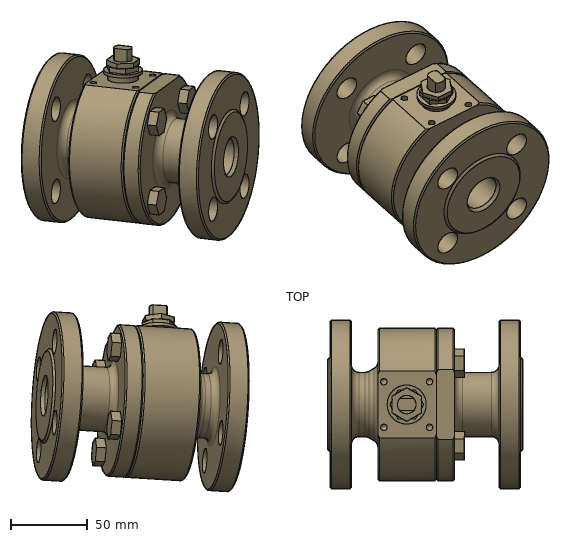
import cadquery as cq
import math


length = 127.0
left_end = -51.4
right_end = left_end + length
face_height = 1.5
flange_thickness = 14.0
body_left = -18.8
body_length = 38.1
cover_length = 12.0
body_right = body_left + body_length
cover_right = body_right + cover_length

flange_radius = 110.0 / 2
face_radius = 61.8 / 2
edge_chamfer = 1.0
flange_hole_diameter = 16.0
flange_hole_offset = 28.0

neck_radius = 42.0 / 2
neck_fillet = 5.0
cone_angle = math.radians(30)
cone_length = 3.4
bore_radius = 24.0 / 2
bore_mouth_radius = 26.5 / 2
bore_mouth_depth = 2.5

body_radius = 99.5 / 2
body_flat_height = 44.7
cover_flat_height = 44.2

bolt_head_flats = 16.0
bolt_head_height = 6.4
bolt_offset = 26.9

mount_hole_diameter = 4.2
mount_hole_spacing = 29.7
mount_hole_depth = 10.2
drill_tip_angle = 118

gland_diameter = 20.0
gland_height = 4.3
washer_diameter = 25.4
washer_thickness = 2.0
nut_flats = 19.0
nut_thickness = 3.4
upper_nut_turn = 30
stem_diameter = 12.1
stem_flats = 8.0
stem_top = 66.0


def revolved(outline):
    """Turn a closed half outline, drawn in the XZ plane, about the pipe axis."""
    return outline.revolve(360, (0, 0, 0), (1, 0, 0))


def disc(left, thickness, radius):
    """Round plate on the pipe axis, chamfered at both rims."""
    plate = cq.Workplane("YZ", origin=(left, 0, 0)).circle(radius).extrude(thickness)
    return plate.edges().chamfer(edge_chamfer)


def hexagon_diameter(across_flats):
    """Distance across the corners of a hexagon."""
    return across_flats / math.cos(math.pi / 6)


def pipe_flange(end, inward):
    """Flange with a tapered raised face; inward is the X direction pointing into the valve."""
    back = end + inward * face_height
    flange = disc(min(back, back + inward * flange_thickness), flange_thickness, flange_radius)
    raised_face = revolved(
        cq.Workplane("XZ")
        .moveTo(back, 0)
        .lineTo(back, face_radius)
        .lineTo(end, face_radius - face_height)
        .lineTo(end, 0)
        .close()
    )
    holes = (
        cq.Workplane("YZ", origin=(left_end, 0, 0))
        .rect(2 * flange_hole_offset, 2 * flange_hole_offset, forConstruction=True)
        .vertices()
        .circle(flange_hole_diameter / 2)
        .extrude(length)
    )
    return flange.cut(holes).union(raised_face)


def fillet_point(wall, toward_neck, angle):
    """Point, as X and radius, on the fillet between the neck and the wall at the given X.

    The angle is 0 where the fillet leaves the neck and 90 degrees where it meets the wall.
    """
    x = wall + toward_neck * neck_fillet * (1 - math.sin(angle))
    return x, neck_radius + neck_fillet * (1 - math.cos(angle))


def right_neck():
    """Straight neck with a quarter round at the cover and at the flange."""
    flange_wall = right_end - face_height - flange_thickness
    return revolved(
        cq.Workplane("XZ")
        .moveTo(cover_right, 0)
        .lineTo(*fillet_point(cover_right, 1, math.pi / 2))
        .threePointArc(fillet_point(cover_right, 1, math.pi / 4), fillet_point(cover_right, 1, 0))
        .lineTo(*fillet_point(flange_wall, -1, 0))
        .threePointArc(
            fillet_point(flange_wall, -1, math.pi / 4),
            fillet_point(flange_wall, -1, math.pi / 2),
        )
        .lineTo(flange_wall, 0)
        .close()
    )


def left_neck():
    """Neck that widens through a blended cone before it meets the body."""
    flange_wall = left_end + face_height + flange_thickness

    cone_end = body_left - neck_fillet * (1 - math.sin(cone_angle))
    cone_start = cone_end - cone_length
    blend_start = cone_start - neck_fillet * math.sin(cone_angle)

    def blend_point(angle):
        x = blend_start + neck_fillet * math.sin(angle)
        return x, neck_radius + neck_fillet * (1 - math.cos(angle))

    cone_rise = cone_length * math.tan(cone_angle)
    root_center_x = body_left - neck_fillet
    root_center_r = blend_point(cone_angle)[1] + cone_rise + neck_fillet * math.cos(cone_angle)

    def root_point(angle):
        x = root_center_x + neck_fillet * math.sin(angle)
        return x, root_center_r - neck_fillet * math.cos(angle)

    return revolved(
        cq.Workplane("XZ")
        .moveTo(flange_wall, 0)
        .lineTo(*fillet_point(flange_wall, 1, math.pi / 2))
        .threePointArc(fillet_point(flange_wall, 1, math.pi / 4), fillet_point(flange_wall, 1, 0))
        .lineTo(*blend_point(0))
        .threePointArc(blend_point(cone_angle / 2), blend_point(cone_angle))
        .lineTo(*root_point(cone_angle))
        .threePointArc(root_point((cone_angle + math.pi / 2) / 2), root_point(math.pi / 2))
        .lineTo(body_left, 0)
        .close()
    )


def flat_topped(plate, height):
    """Cut a plate off level at the given height."""
    return plate.intersect(
        cq.Workplane("XY", origin=(0, 0, -body_radius))
        .rect(2 * length, 2 * body_radius)
        .extrude(body_radius + height)
    )


def mounting_holes():
    """Four blind drilled holes in the body's flat top, with conical bottoms."""
    radius = mount_hole_diameter / 2
    tip_depth = mount_hole_depth + radius / math.tan(math.radians(drill_tip_angle / 2))
    hole = (
        cq.Workplane("XZ")
        .moveTo(0, body_flat_height)
        .lineTo(radius, body_flat_height)
        .lineTo(radius, body_flat_height - mount_hole_depth)
        .lineTo(0, body_flat_height - tip_depth)
        .close()
        .revolve(360, (0, 0, 0), (0, 1, 0))
    )
    return (
        cq.Workplane("XY")
        .rect(mount_hole_spacing, mount_hole_spacing, forConstruction=True)
        .vertices()
        .eachpoint(lambda place: hole.val().moved(place), combine="a")
    )


def cover_bolts():
    """Four hexagon heads on the cover, with their corners pointing along Y."""
    return (
        cq.Workplane("YZ", origin=(cover_right, 0, 0))
        .rect(2 * bolt_offset, 2 * bolt_offset, forConstruction=True)
        .vertices()
        .polygon(6, hexagon_diameter(bolt_head_flats))
        .extrude(bolt_head_height)
    )


def hex_nut(base, turn):
    """Hexagonal nut standing at the given height, turned by an angle about the stem axis."""
    nut = cq.Workplane("XY").polygon(6, hexagon_diameter(nut_flats)).extrude(nut_thickness)
    return nut.rotate((0, 0, 0), (0, 0, 1), turn).translate((0, 0, base))


def stem_stack():
    """Gland, washer, two nuts turned against each other, and a stem with two flats."""
    washer_base = body_flat_height + gland_height
    lower_nut_base = washer_base + washer_thickness
    upper_nut_base = lower_nut_base + nut_thickness

    gland = cq.Workplane("XY", origin=(0, 0, body_flat_height)).circle(gland_diameter / 2)
    washer = cq.Workplane("XY", origin=(0, 0, washer_base)).circle(washer_diameter / 2)

    stem_foot = cq.Workplane("XY", origin=(0, 0, upper_nut_base))
    stem_height = stem_top - upper_nut_base
    round_stem = stem_foot.circle(stem_diameter / 2).extrude(stem_height)
    stem = round_stem.intersect(stem_foot.rect(stem_diameter, stem_flats).extrude(stem_height))

    return (
        gland.extrude(gland_height)
        .union(washer.extrude(washer_thickness))
        .union(hex_nut(lower_nut_base, 0))
        .union(hex_nut(upper_nut_base, upper_nut_turn).cut(round_stem))
        .union(stem)
    )


def bore():
    """Through bore with a tapered mouth at each end."""
    return revolved(
        cq.Workplane("XZ")
        .moveTo(left_end, 0)
        .lineTo(left_end, bore_mouth_radius)
        .lineTo(left_end + bore_mouth_depth, bore_radius)
        .lineTo(right_end - bore_mouth_depth, bore_radius)
        .lineTo(right_end, bore_mouth_radius)
        .lineTo(right_end, 0)
        .close()
    )


body = flat_topped(disc(body_left, body_length, body_radius), body_flat_height)
cover = flat_topped(disc(body_right, cover_length, body_radius), cover_flat_height)

result = (
    body.cut(mounting_holes())
    .union(cover)
    .union(left_neck())
    .union(right_neck())
    .union(pipe_flange(left_end, 1))
    .union(pipe_flange(right_end, -1))
    .union(cover_bolts())
    .union(stem_stack())
    .cut(bore())
)